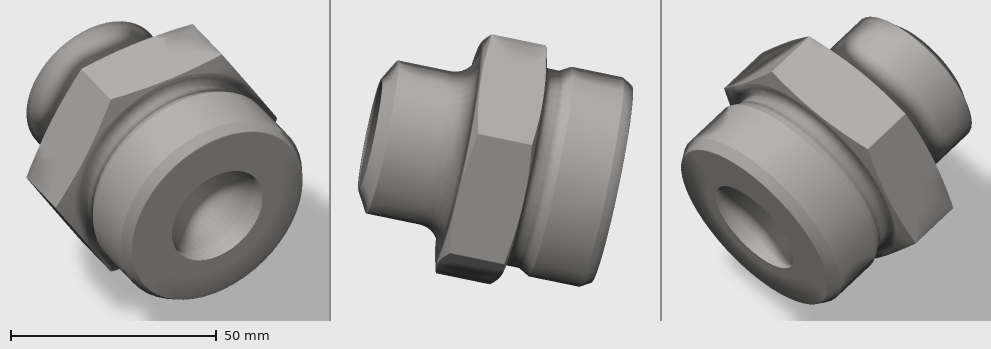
import cadquery as cq
import math

LENGTH = 60.0
BORE_D = 26.0
EDGE_ROUND = 0.3

NIPPLE_D = 38.0
NIPPLE_TIP_D = 28.0
NIPPLE_BEVEL_ANGLE = 30.0
NIPPLE_EDGE_ROUND = 0.2
NIPPLE_ROOT_FILLET = 6.0

HEX_START = 22.0
HEX_WIDTH = 16.0
HEX_FLATS = 55.0
HEX_FACE_D = 54.0
HEX_CHAMFER_ANGLE = 15.0

THREAD_D = 52.0
UNDERCUT_D = 48.9
UNDERCUT_WIDTH = 4.0
UNDERCUT_FILLET = 1.3
THREAD_SLOPE_ANGLE = 30.0
THREAD_EDGE_ROUND = 0.5

HEX_END = HEX_START + HEX_WIDTH
HEX_CORNERS = HEX_FLATS / math.cos(math.radians(30))


def tan_deg(angle):
    return math.tan(math.radians(angle))


def rounded_outline(corners):
    """Closed XY outline through (x, y, radius) corners, each rounded by its radius."""
    outline = None
    for index, (x, y, radius) in enumerate(corners):
        corner = cq.Vector(x, y)
        before = cq.Vector(*corners[index - 1][:2])
        after = cq.Vector(*corners[(index + 1) % len(corners)][:2])
        to_before = (before - corner).normalized()
        to_after = (after - corner).normalized()

        half_angle = to_before.getAngle(to_after) / 2
        tangent_length = radius / math.tan(half_angle)
        middle_distance = radius / math.sin(half_angle) - radius
        arc_start = corner + to_before * tangent_length
        arc_middle = corner + (to_before + to_after).normalized() * middle_distance
        arc_end = corner + to_after * tangent_length

        if outline is None:
            outline = cq.Workplane("XY").moveTo(arc_start.x, arc_start.y)
        else:
            outline = outline.lineTo(arc_start.x, arc_start.y)
        if radius > 0:
            outline = outline.threePointArc(arc_middle.toTuple()[:2], arc_end.toTuple()[:2])
    return outline.close()


def nipple_corners():
    """Bore mouth, bevelled tip and the flare into the hexagon face."""
    radius = NIPPLE_D / 2
    tip_radius = NIPPLE_TIP_D / 2
    bevel_length = (radius - tip_radius) * tan_deg(NIPPLE_BEVEL_ANGLE)
    return [
        (0, BORE_D / 2, EDGE_ROUND),
        (0, tip_radius, 0),
        (bevel_length, radius, NIPPLE_EDGE_ROUND),
        (HEX_START, radius, NIPPLE_ROOT_FILLET),
    ]


def collar_corners():
    """Round collar blank, coned on both faces out to the hexagon corners."""
    face_radius = HEX_FACE_D / 2
    outer_radius = HEX_CORNERS / 2
    chamfer_length = (outer_radius - face_radius) * tan_deg(HEX_CHAMFER_ANGLE)
    return [
        (HEX_START, face_radius, 0),
        (HEX_START + chamfer_length, outer_radius, 0),
        (HEX_END - chamfer_length, outer_radius, 0),
        (HEX_END, face_radius, 0),
    ]


def thread_corners():
    """Undercut, sloped run-out, plain thread cylinder and end chamfer, back to the bore."""
    radius = THREAD_D / 2
    undercut_radius = UNDERCUT_D / 2
    slope_length = (radius - undercut_radius) / tan_deg(THREAD_SLOPE_ANGLE)
    slope_start = HEX_END + UNDERCUT_WIDTH
    return [
        (HEX_END, undercut_radius, UNDERCUT_FILLET),
        (slope_start, undercut_radius, UNDERCUT_FILLET),
        (slope_start + slope_length, radius, THREAD_EDGE_ROUND),
        (LENGTH - slope_length, radius, THREAD_EDGE_ROUND),
        (LENGTH, undercut_radius, EDGE_ROUND),
        (LENGTH, BORE_D / 2, 0),
    ]


def make_turned_body():
    outline = rounded_outline(nipple_corners() + collar_corners() + thread_corners())
    return outline.revolve(360, (0, 0, 0), (1, 0, 0))


def make_hexagon_bar():
    """Full-length hexagonal bar with flats facing +Z and -Z; only the collar reaches its sides."""
    bar = cq.Workplane("YZ").polygon(6, HEX_CORNERS).extrude(LENGTH)
    return bar.edges("|X").fillet(EDGE_ROUND)


result = make_turned_body().intersect(make_hexagon_bar())